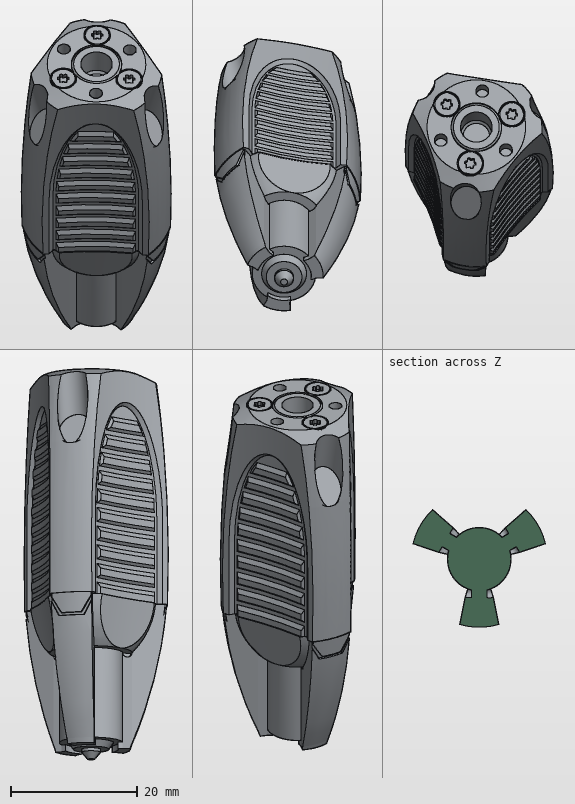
import cadquery as cq
import math

TOTAL_HEIGHT = 61.5
PARTING_Z = 24.85
LEDGE_Z = 17.1
FIN_BOTTOM_Z = 1.6
CORE_BOTTOM_Z = 2.65

ARM_ANGLES = (30, 150, 270)
FACE_ANGLES = (90, 210, 330)

MAX_RADIUS = 12.25
MAX_RADIUS_Z = 34.45
PARTING_RADIUS = 12.1
CROWN_RADIUS = 10.4
CROWN_Z = 60.3
COVER_RADIUS = 7.8
FACE_DISTANCE = 8.1
FACE_CURVE_RADIUS = 51.65
FACE_CURVE_CENTER = FACE_DISTANCE + FACE_CURVE_RADIUS
BLANK_RADIUS = 15.4

POCKET_HALF_WIDTH = 6.3
POCKET_SPRING_Z = 38.1
POCKET_TOP_Z = 55.7
POCKET_DRAFT = 40.0
POCKET_DEPTH = 0.6
RIDGE_HEIGHT = 0.4
RIDGE_COUNT = 10
RIDGE_PITCH = 3.0
FIRST_RIDGE_Z = 24.4
RIDGE_CREST = 1.1
RIDGE_LOWER_SLOPE = 0.4
RIDGE_UPPER_SLOPE = 0.75
RIDGE_HALF_WIDTH = 6.9
RIDGE_END_TAPER = 45.0
RIDGE_ROOT = 0.2
POCKET_REACH = 3.1

SCALLOP_RADIUS = 5.0 / 2
SCALLOP_TILT = 13.0
SCALLOP_AXIS_DISTANCE = 10.7
SCALLOP_AXIS_Z = 55.95
SCALLOP_FLOOR_INNER = (7.7, 54.25)
SCALLOP_FLOOR_OUTER = (11.6, 48.95)

FIN_ROOT = (4.75, 1.85)
FIN_CREASE = (6.15, 2.3)
FIN_TIP = (12.3, 3.5)
NOSE_TOP_RADIUS = 12.0
NOSE_MID_RADIUS = 10.0
NOSE_MID_Z = 13.05
NOSE_END_RADIUS = 6.45
NOSE_END_Z = 2.35
FIN_BOTTOM_RADIUS = 6.2
CORE_RADIUS = 5.05
SHOULDER_TOP_RADIUS = 10.2
SHOULDER_MID_RADIUS = 8.85
SHOULDER_MID_Z = 20.25
SHOULDER_END_RADIUS = 6.6
NOTCH_DISTANCE = 5.4
NOTCH_RADIUS = 0.75
NOTCH_REACH = 2.75
NOTCH_WEB = 2.45

TONGUE_BOTTOM_Z = 21.45
TONGUE_BOTTOM_HALF_WIDTH = 1.85
TONGUE_SIDE_Z = 24.25
TONGUE_SIDE_HALF_WIDTH = 3.45
JOINT_WIDTH = 0.4
JOINT_DEPTH = 0.25
GROOVE_FLOOR_RADIUS = 11.25

RECESS_RADIUS = 4.3
HUB_TOP_RADIUS = 3.55
HUB_BOTTOM_RADIUS = 2.8
TIP_RADIUS = 3.0 / 2
TIP_CONE_Z = 1.1
TIP_END_RADIUS = 0.55

BORE_RADIUS = 5.0 / 2
BORE_FLOOR_RADIUS = 4.2 / 2
BORE_DEPTH = 4.9
COLLAR_OUTER_RADIUS = 8.0 / 2
COLLAR_CHAMFER = 0.35
BOLT_CIRCLE_RADIUS = 6.0
SCREW_BORE_RADIUS = 4.2 / 2
SCREW_HEAD_RADIUS = 3.8 / 2
SCREW_GAP_DEPTH = 0.35
SOCKET_RADIUS = 0.7
SOCKET_LOBE_RADIUS = 0.25
SOCKET_LOBES = 6
SOCKET_DEPTH = 0.75
PIN_HOLE_RADIUS = 2.0 / 2
PIN_HOLE_DEPTH = 2.45


def polar(radius, angle):
    turn = math.radians(angle)
    return radius * math.cos(turn), radius * math.sin(turn)


def turned(profile):
    """Revolve a closed (radius, z) outline around Z."""
    return profile.close().revolve(360, (0, 0, 0), (0, 1, 0))


def at_angles(solid, angles):
    """Copies of a solid built along +X, turned to each angle and joined."""
    copies = cq.Workplane("XY")
    for angle in angles:
        copies = copies.add(solid.rotate((0, 0, 0), (0, 0, 1), angle).val())
    return copies.combine()


def face_cylinder(inset, bottom, top):
    """Vertical cylinder that hollows the +X face, moved inward by inset."""
    return (
        cq.Workplane("XY", origin=(FACE_CURVE_CENTER, 0, bottom))
        .circle(FACE_CURVE_RADIUS + inset)
        .extrude(top - bottom)
    )


def cut_faces(solid, lean=0):
    """Hollow the three faces; a lean tips each cut inward below the joint."""
    cylinder = face_cylinder(0, -TOTAL_HEIGHT, 2 * TOTAL_HEIGHT)
    pivot = (FACE_DISTANCE, 0, PARTING_Z)
    cylinder = cylinder.rotate(pivot, (FACE_DISTANCE, 1, PARTING_Z), lean)
    for angle in FACE_ANGLES:
        solid = solid.cut(cylinder.rotate((0, 0, 0), (0, 0, 1), angle))
    return solid


def make_grip():
    profile = (
        cq.Workplane("XZ")
        .moveTo(0, PARTING_Z)
        .lineTo(PARTING_RADIUS, PARTING_Z)
        .threePointArc((MAX_RADIUS, MAX_RADIUS_Z), (CROWN_RADIUS, CROWN_Z))
        .lineTo(COVER_RADIUS, TOTAL_HEIGHT)
        .lineTo(0, TOTAL_HEIGHT)
    )
    return cut_faces(turned(profile))




def pocket_prism(half_width, taper):
    """Arched pocket outline, extruded outward; a positive taper narrows it."""
    start = FACE_DISTANCE - POCKET_DEPTH - RIDGE_ROOT
    bottom = PARTING_Z - POCKET_REACH
    rise = POCKET_TOP_Z - POCKET_SPRING_Z
    return (
        cq.Workplane("YZ", origin=(start, 0, 0))
        .moveTo(-half_width, bottom)
        .lineTo(half_width, bottom)
        .lineTo(half_width, POCKET_SPRING_Z)
        .ellipseArc(half_width, rise, 0, 180, startAtCurrent=True)
        .close()
        .extrude(POCKET_REACH, taper=taper)
    )


def ridge(bottom):
    """Ring of trapezoidal section, concentric with the hollow face."""
    foot = FACE_DISTANCE - POCKET_DEPTH
    crest = foot + RIDGE_HEIGHT
    crest_bottom = bottom + RIDGE_LOWER_SLOPE
    crest_top = crest_bottom + RIDGE_CREST
    return (
        cq.Workplane("XZ")
        .moveTo(foot - RIDGE_ROOT, bottom)
        .lineTo(foot, bottom)
        .lineTo(crest, crest_bottom)
        .lineTo(crest, crest_top)
        .lineTo(foot, crest_top + RIDGE_UPPER_SLOPE)
        .lineTo(foot - RIDGE_ROOT, crest_top + RIDGE_UPPER_SLOPE)
        .close()
        .revolve(360, (FACE_CURVE_CENTER, 0, 0), (FACE_CURVE_CENTER, 1, 0))
    )


def make_pocket():
    """Space to remove from one face; the ridges are left standing."""
    pocket = pocket_prism(POCKET_HALF_WIDTH, -POCKET_DRAFT)
    pocket = pocket.intersect(face_cylinder(POCKET_DEPTH, PARTING_Z, TOTAL_HEIGHT))
    ridge_limit = pocket_prism(RIDGE_HALF_WIDTH, RIDGE_END_TAPER)
    for index in range(RIDGE_COUNT):
        bar = ridge(FIRST_RIDGE_Z + index * RIDGE_PITCH)
        pocket = pocket.cut(bar.intersect(ridge_limit))
    return pocket


def make_scallop():
    """Leaning round cutter with a sloping flat floor, on the +X side."""
    inner_r, inner_z = SCALLOP_FLOOR_INNER
    outer_r, outer_z = SCALLOP_FLOOR_OUTER
    run, drop = outer_r - inner_r, inner_z - outer_z
    above_floor = (
        cq.Workplane("XZ", origin=(0, BLANK_RADIUS, 0))
        .moveTo(inner_r - run, inner_z + drop)
        .lineTo(outer_r + run, outer_z - drop)
        .lineTo(outer_r + run, TOTAL_HEIGHT + drop)
        .lineTo(inner_r - run, TOTAL_HEIGHT + drop)
        .close()
        .extrude(2 * BLANK_RADIUS)
    )
    column = (
        cq.Workplane("XY")
        .circle(SCALLOP_RADIUS)
        .extrude(2 * BLANK_RADIUS)
        .translate((0, 0, -BLANK_RADIUS))
        .rotate((0, 0, 0), (0, 1, 0), SCALLOP_TILT)
        .translate((SCALLOP_AXIS_DISTANCE, 0, SCALLOP_AXIS_Z))
    )
    return column.intersect(above_floor)




def nose_envelope():
    profile = (
        cq.Workplane("XZ")
        .moveTo(0, FIN_BOTTOM_Z)
        .lineTo(FIN_BOTTOM_RADIUS, FIN_BOTTOM_Z)
        .lineTo(NOSE_END_RADIUS, NOSE_END_Z)
        .threePointArc((NOSE_MID_RADIUS, NOSE_MID_Z), (NOSE_TOP_RADIUS, PARTING_Z))
        .lineTo(0, PARTING_Z)
    )
    return turned(profile)


def make_fins():
    upper_side = (FIN_ROOT, FIN_CREASE, FIN_TIP)
    lower_side = [(distance, -half) for distance, half in reversed(upper_side)]
    fin = (
        cq.Workplane("XY", origin=(0, 0, FIN_BOTTOM_Z))
        .moveTo(0, FIN_ROOT[1])
        .polyline([*upper_side, *lower_side], includeCurrent=True)
        .lineTo(0, -FIN_ROOT[1])
        .close()
        .extrude(PARTING_Z - FIN_BOTTOM_Z)
    )
    return at_angles(fin, ARM_ANGLES).intersect(nose_envelope())


def make_shoulders():
    """Rounded slopes from the grip faces down to the ledge between the fins."""
    profile = (
        cq.Workplane("XZ")
        .moveTo(0, LEDGE_Z)
        .lineTo(SHOULDER_END_RADIUS, LEDGE_Z)
        .threePointArc((SHOULDER_MID_RADIUS, SHOULDER_MID_Z), (SHOULDER_TOP_RADIUS, PARTING_Z))
        .lineTo(0, PARTING_Z)
    )
    inward = FACE_DISTANCE - SHOULDER_END_RADIUS
    lean = math.degrees(math.atan2(inward, PARTING_Z - LEDGE_Z))
    return cut_faces(turned(profile), lean)


def make_notches():
    """Half-round notches in both sides of a fin root, just under the ledge."""
    half_round = (
        cq.Workplane("XZ", origin=(NOTCH_DISTANCE, NOTCH_REACH, LEDGE_Z))
        .moveTo(-NOTCH_RADIUS, 0)
        .threePointArc((0, -NOTCH_RADIUS), (NOTCH_RADIUS, 0))
        .close()
        .extrude(2 * NOTCH_REACH)
    )
    web = cq.Workplane("XY", origin=(NOTCH_DISTANCE, 0, LEDGE_Z))
    web = web.box(3 * NOTCH_RADIUS, NOTCH_WEB, 3 * NOTCH_RADIUS)
    return half_round.cut(web)


def make_core():
    return (
        cq.Workplane("XY", origin=(0, 0, CORE_BOTTOM_Z))
        .circle(CORE_RADIUS)
        .extrude(PARTING_Z - CORE_BOTTOM_Z)
    )


def make_recess():
    depth = CORE_BOTTOM_Z - FIN_BOTTOM_Z
    return cq.Workplane("XY", origin=(0, 0, FIN_BOTTOM_Z)).circle(RECESS_RADIUS).extrude(depth)


def make_tip():
    """Conical hub and pointed tip below the core."""
    profile = (
        cq.Workplane("XZ")
        .moveTo(0, CORE_BOTTOM_Z)
        .lineTo(HUB_TOP_RADIUS, CORE_BOTTOM_Z)
        .lineTo(HUB_BOTTOM_RADIUS, FIN_BOTTOM_Z)
        .lineTo(TIP_RADIUS, FIN_BOTTOM_Z)
        .lineTo(TIP_RADIUS, TIP_CONE_Z)
        .lineTo(TIP_END_RADIUS, 0)
        .lineTo(0, 0)
    )
    return turned(profile)


def joint_outline(offset):
    """Outline of an arm's tongue, seen along the arm and grown by offset."""
    bottom = TONGUE_BOTTOM_Z - offset
    narrow = TONGUE_BOTTOM_HALF_WIDTH + offset
    wide = TONGUE_SIDE_HALF_WIDTH + offset
    return (
        cq.Workplane("YZ")
        .moveTo(-wide, PARTING_Z)
        .lineTo(-wide, TONGUE_SIDE_Z)
        .lineTo(-narrow, bottom)
        .lineTo(narrow, bottom)
        .lineTo(wide, TONGUE_SIDE_Z)
        .lineTo(wide, PARTING_Z)
        .close()
        .extrude(BLANK_RADIUS)
    )


def make_joint_groove():
    """Shallow groove around the tongue of the arm on the +X side."""
    band = joint_outline(JOINT_WIDTH / 2).cut(joint_outline(-JOINT_WIDTH / 2))
    profile = (
        cq.Workplane("XZ")
        .moveTo(0, NOSE_MID_Z)
        .lineTo(NOSE_MID_RADIUS - JOINT_DEPTH, NOSE_MID_Z)
        .lineTo(GROOVE_FLOOR_RADIUS, TONGUE_BOTTOM_Z)
        .lineTo(NOSE_TOP_RADIUS - JOINT_DEPTH, PARTING_Z)
        .lineTo(0, PARTING_Z)
    )
    return band.cut(turned(profile))




def ring_cut(radius, place, outer_radius, inner_radius, depth):
    return (
        cq.Workplane("XY", origin=(*polar(radius, place), TOTAL_HEIGHT))
        .circle(outer_radius)
        .circle(inner_radius)
        .extrude(-depth)
    )


def round_cut(radius, place, hole_radius, depth):
    center = (*polar(radius, place), TOTAL_HEIGHT)
    return cq.Workplane("XY", origin=center).circle(hole_radius).extrude(-depth)


def make_bore():
    """Central bore with a tapered floor edge and a bevelled collar around it."""
    floor_z = TOTAL_HEIGHT - BORE_DEPTH
    bore = turned(
        cq.Workplane("XZ")
        .moveTo(0, floor_z)
        .lineTo(BORE_FLOOR_RADIUS, floor_z)
        .lineTo(BORE_RADIUS, floor_z + BORE_RADIUS - BORE_FLOOR_RADIUS)
        .lineTo(BORE_RADIUS, TOTAL_HEIGHT)
        .lineTo(0, TOTAL_HEIGHT)
    )
    bevel = turned(
        cq.Workplane("XZ")
        .moveTo(COLLAR_OUTER_RADIUS - COLLAR_CHAMFER, TOTAL_HEIGHT)
        .lineTo(COLLAR_OUTER_RADIUS, TOTAL_HEIGHT - COLLAR_CHAMFER)
        .lineTo(COLLAR_OUTER_RADIUS, TOTAL_HEIGHT)
    )
    return bore.union(bevel)


def make_screw(place):
    """Gap around a screw head and the six-lobed socket in it."""
    gap = ring_cut(BOLT_CIRCLE_RADIUS, place, SCREW_BORE_RADIUS, SCREW_HEAD_RADIUS, SCREW_GAP_DEPTH)
    socket = round_cut(BOLT_CIRCLE_RADIUS, place, SOCKET_RADIUS, SOCKET_DEPTH)
    center = polar(BOLT_CIRCLE_RADIUS, place)
    for index in range(SOCKET_LOBES):
        offset = polar(SOCKET_RADIUS, index * 360 / SOCKET_LOBES)
        lobe = round_cut(0, 0, SOCKET_LOBE_RADIUS, SOCKET_DEPTH)
        socket = socket.union(lobe.translate((center[0] + offset[0], center[1] + offset[1], 0)))
    return gap, socket


grip = make_grip()
pocket_space = make_pocket()
grip = grip.cut(at_angles(make_scallop(), ARM_ANGLES))
for face_angle in FACE_ANGLES:
    grip = grip.cut(pocket_space.rotate((0, 0, 0), (0, 0, 1), face_angle))

fins = make_fins().cut(at_angles(make_notches(), ARM_ANGLES))
nose = make_core().union(fins).union(make_shoulders())
nose = nose.cut(make_recess()).union(make_tip())

result = nose.union(grip)
joint_groove = make_joint_groove()
for arm_angle in ARM_ANGLES:
    result = result.cut(joint_groove.rotate((0, 0, 0), (0, 0, 1), arm_angle))

result = result.cut(make_bore())
for arm_angle in ARM_ANGLES:
    for cutter in make_screw(arm_angle):
        result = result.cut(cutter)
for face_angle in FACE_ANGLES:
    result = result.cut(round_cut(BOLT_CIRCLE_RADIUS, face_angle, PIN_HOLE_RADIUS, PIN_HOLE_DEPTH))